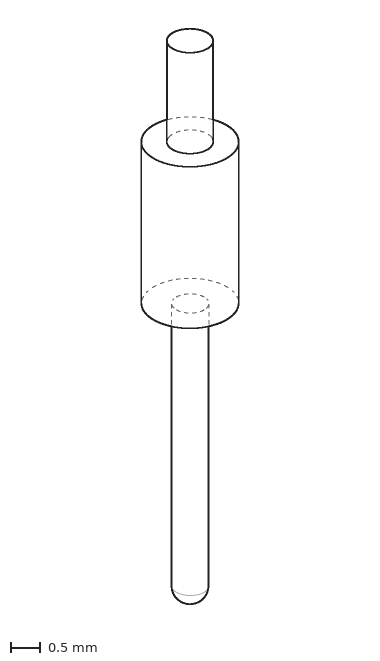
import cadquery as cq

total_length = 11.09
top_pin_diameter = 0.79
top_pin_length = 2.0
body_diameter = 1.65
body_length = 3.19
plunger_diameter = 0.63

tip_radius = plunger_diameter / 2
body_top = total_length - top_pin_length
body_bottom = body_top - body_length


def cylinder(diameter, bottom, top):
    """Cylinder on the Z axis between two heights."""
    return cq.Workplane("XY").workplane(offset=bottom).circle(diameter / 2).extrude(top - bottom)


top_pin = cylinder(top_pin_diameter, body_top, total_length)
body = cylinder(body_diameter, body_bottom, body_top)
plunger = cylinder(plunger_diameter, tip_radius, body_bottom)
tip = cq.Workplane("XY").sphere(tip_radius).translate((0, 0, tip_radius))

result = body.union(top_pin).union(plunger).union(tip)